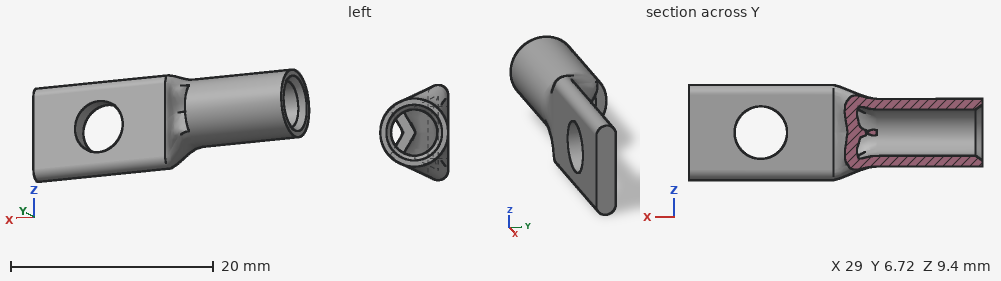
import cadquery as cq
import math

length = 28.95
palm_width = 9.4
barrel_diameter = 6.72

barrel_length = 10.43
bore_diameter = 4.55
mouth_diameter = 5.5
mouth_depth = 0.7
barrel_radius = barrel_diameter / 2
bore_radius = bore_diameter / 2
axis_y = barrel_radius

palm_start = 14.68
palm_thickness = 2.03
hole_diameter = 5.15
hole_x = 21.86

dent_angle = 30.0
dent_outer_y = 4.43
dent_inner_y = 3.21
seam_angle = 45.0
slit_thickness = 0.05

neck_sections = 7
neck_end_slope = 0.7
outer_crest_bulge = 1.45
inner_crest_bulge = 0.43
tip_bulge = 0.72
crease_fade = 6
flatness_tolerance = 2.9e-07


def dented_tube_points(radius, dent_y):
    """Key (y, z) points of the upper half of a circle dented by a V with its tip at dent_y."""
    slope = math.tan(math.radians(dent_angle))
    tip = dent_y - axis_y
    root = math.sqrt((1 + slope**2) * radius**2 - tip**2)
    horn_z = (root - slope * tip) / (1 + slope**2)
    horn_y = tip + slope * horn_z
    seam = math.radians(seam_angle)
    seam_y = -radius * math.cos(seam)
    seam_z = radius * math.sin(seam)
    side_angle = (math.atan2(horn_y, horn_z) + math.atan2(seam_y, seam_z)) / 2
    points = [
        (-radius, 0),
        (seam_y, seam_z),
        (radius * math.sin(side_angle), radius * math.cos(side_angle)),
        (horn_y, horn_z),
        (tip, 0),
    ]
    return [(axis_y + y, z) for y, z in points]


def flat_bar_points(thickness):
    """The same key points on a bar with round edges, centred in the palm thickness."""
    middle_y = palm_thickness / 2
    half = thickness / 2
    flat_z = (palm_width - palm_thickness) / 2
    return [
        (middle_y - half, 0),
        (middle_y - half, flat_z),
        (middle_y, flat_z + half),
        (middle_y + half, flat_z),
        (middle_y + half, 0),
    ]


def section_wire(x, points, crest_rise=0.0, tip_rise=0.0, crease=1.0):
    """Closed section at x, mirrored about Z = 0.

    The back swells outward by crest_rise near the horns and by tip_rise at the tip of the V.
    Crease is 1 for a sharp V and 0 for a smooth valley.
    """
    front, seam, side, horn, tip = [cq.Vector(x, y, z) for y, z in points]
    tip = tip + cq.Vector(0, tip_rise, 0)
    crest = horn + (tip - horn) / 3 + cq.Vector(0, crest_rise, 0)
    valley = tip + cq.Vector(0, crease * (horn.y - tip.y) / 3, horn.z / 3)
    seam_low, side_low, horn_low, crest_low, valley_low = [
        cq.Vector(p.x, p.y, -p.z) for p in (seam, side, horn, crest, valley)
    ]
    if math.isclose(front.y, seam.y, abs_tol=flatness_tolerance):
        front_edge = cq.Edge.makeLine(seam_low, seam)
    else:
        front_edge = cq.Edge.makeThreePointArc(seam_low, front, seam)
    return cq.Wire.assembleEdges([
        front_edge,
        cq.Edge.makeThreePointArc(seam, side, horn),
        cq.Edge.makeBezier([horn, crest, valley, tip]),
        cq.Edge.makeBezier([tip, valley_low, crest_low, horn_low]),
        cq.Edge.makeThreePointArc(horn_low, side_low, seam_low),
    ])


def neck_loft(tube_points, bar_points, crest_bulge):
    """Loft from the dented tube to the flat bar, leaving the tube parallel to X.

    The blend goes from 0 to 1 with no slope at the tube and neck_end_slope at the bar.
    The swelling fades to nothing at both ends.
    """
    wires = []
    for i in range(neck_sections):
        t = i / (neck_sections - 1)
        blend = (3 - neck_end_slope) * t**2 + (neck_end_slope - 2) * t**3
        points = [
            (y0 + blend * (y1 - y0), z0 + blend * (z1 - z0))
            for (y0, z0), (y1, z1) in zip(tube_points, bar_points)
        ]
        x = barrel_length + t * (palm_start - barrel_length)
        swell = (4 * t * (1 - t)) ** 2
        crease = (1 - t) ** crease_fade
        wires.append(section_wire(x, points, crest_bulge * swell, tip_bulge * swell, crease))
    return cq.Workplane(cq.Solid.makeLoft(wires))


def make_barrel():
    section = cq.Workplane("YZ").center(axis_y, 0).circle(barrel_radius).circle(bore_radius)
    tube = section.extrude(barrel_length)
    mouth = cq.Solid.makeCone(
        mouth_diameter / 2, bore_radius, mouth_depth, cq.Vector(0, axis_y, 0), cq.Vector(1, 0, 0)
    )
    return tube.cut(cq.Workplane(mouth))


def make_palm():
    bar = cq.Solid.extrudeLinear(
        section_wire(palm_start, flat_bar_points(palm_thickness)), [], cq.Vector(length - palm_start, 0, 0)
    )
    hole = cq.Solid.makeCylinder(
        hole_diameter / 2, palm_thickness, cq.Vector(hole_x, 0, 0), cq.Vector(0, 1, 0)
    )
    return cq.Workplane(bar).cut(cq.Workplane(hole))


def make_neck():
    outside = neck_loft(
        dented_tube_points(barrel_radius, dent_outer_y), flat_bar_points(palm_thickness), outer_crest_bulge
    )
    inside = neck_loft(
        dented_tube_points(bore_radius, dent_inner_y), flat_bar_points(slit_thickness), inner_crest_bulge
    )
    return outside.cut(inside)


result = make_barrel().union(make_neck()).union(make_palm())